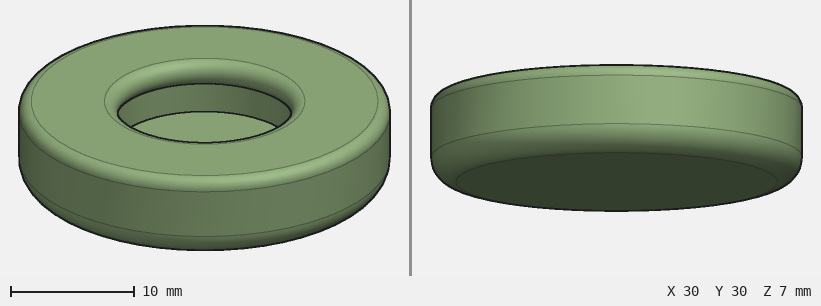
import cadquery as cq
import math

outer_diameter = 30.0
height = 7.0
top_round = 1.0
bottom_round = 2.0

pocket_diameter = 15.0
pocket_depth = 4.5
throat_diameter = 14.0
mouth_diameter = 16.2


def make_disc():
    disc = cq.Workplane("XY").circle(outer_diameter / 2).extrude(height)
    disc = disc.faces(">Z").edges().fillet(top_round)
    return disc.faces("<Z").edges().fillet(bottom_round)


def make_pocket():
    """Revolved cavity whose lip is one arc from the top face to the pocket wall."""
    mouth_radius = mouth_diameter / 2
    throat_radius = throat_diameter / 2
    pocket_radius = pocket_diameter / 2
    lip_round = mouth_radius - throat_radius
    lip_center_z = height - lip_round
    lip_end_z = lip_center_z - math.sqrt(lip_round**2 - (mouth_radius - pocket_radius) ** 2)
    floor_z = height - pocket_depth

    return (
        cq.Workplane("XZ")
        .moveTo(0, floor_z)
        .lineTo(pocket_radius, floor_z)
        .lineTo(pocket_radius, lip_end_z)
        .threePointArc((throat_radius, lip_center_z), (mouth_radius, height))
        .lineTo(0, height)
        .close()
        .revolve(360, (0, 0), (0, 1))
    )


result = make_disc().cut(make_pocket())